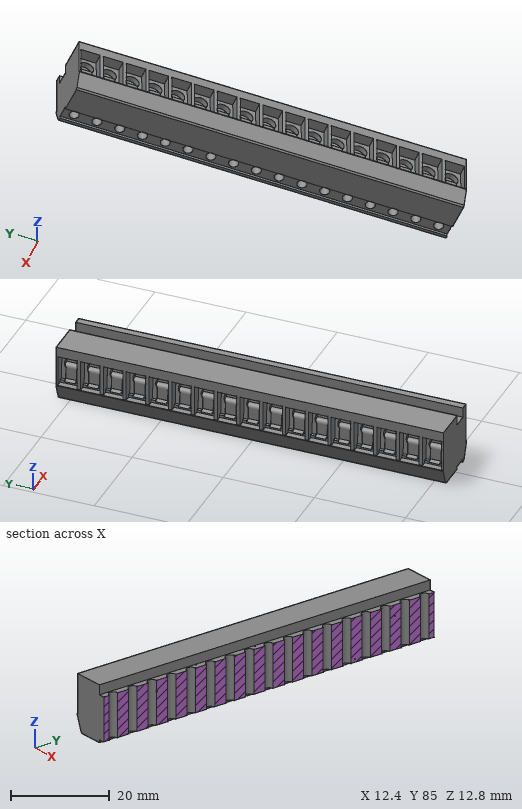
import cadquery as cq
import math

length = 85.0
height = 12.8
width = 12.4
pole_count = 17
pitch = length / pole_count

bottom_z = -height / 2
top_z = height / 2
barb_top_z = bottom_z + 3.9
barb_edge_height = 0.2
barb_x = width / 2
entry_face_x = -6.0
rear_face_x = 5.9
foot_half_width = 4.9
foot_chamfer = 0.3

groove_left_x = 1.2
groove_right_x = 4.25
groove_depth = 2.2
relief_right_x = 4.0
relief_depth = 0.6

screw_hole_diameter = 2.0
screw_hole_x = 2.55

pocket_width = 4.25
pocket_top_z = top_z - groove_depth
pocket_floor_z = barb_top_z
pocket_depth = 2.2
back_wall_tilt = 3.5
step_height = 0.6
step_setback = 1.2

opening_diameter = 3.1
opening_z = bottom_z + 8.1
opening_depth = 1.3
slot_width = 2.4
slot_floor_x = -3.9
tongue_top_z = opening_z - 0.25
tongue_radius = 0.8
slot_ramp_drop = 0.25

back_wall_lean = math.tan(math.radians(back_wall_tilt))
back_wall_top_x = entry_face_x + pocket_depth
back_wall_top_z = pocket_top_z - pocket_depth * back_wall_lean
step_x = entry_face_x + step_setback
step_top_z = pocket_floor_z + step_height
tongue_round_start_z = tongue_top_z - tongue_radius


def back_wall_x(z):
    """X of the leaning back wall, which comes outward toward the bottom."""
    return back_wall_top_x - (back_wall_top_z - z) * back_wall_lean


def extrude_along_y(sketch, y_length):
    """Extrude an XZ sketch symmetrically about Y = 0."""
    return sketch.extrude(y_length / 2, both=True)


def make_body():
    outline = cq.Workplane("XZ").polyline([
        (-foot_half_width, bottom_z + foot_chamfer),
        (-foot_half_width + foot_chamfer, bottom_z),
        (groove_left_x, bottom_z),
        (groove_left_x, bottom_z + relief_depth),
        (relief_right_x, bottom_z + relief_depth),
        (relief_right_x, bottom_z),
        (foot_half_width - foot_chamfer, bottom_z),
        (foot_half_width, bottom_z + foot_chamfer),
        (barb_x, barb_top_z - barb_edge_height),
        (barb_x, barb_top_z),
        (rear_face_x, barb_top_z),
        (rear_face_x, top_z),
        (groove_right_x, top_z),
        (groove_right_x, top_z - groove_depth),
        (groove_left_x, top_z - groove_depth),
        (groove_left_x, top_z),
        (entry_face_x, top_z),
        (entry_face_x, barb_top_z),
        (-barb_x, barb_top_z),
        (-barb_x, barb_top_z - barb_edge_height),
    ]).close()
    return extrude_along_y(outline, length)


def make_pocket():
    """Pocket with a leaning back wall and a step at its foot."""
    outline = cq.Workplane("XZ").polyline([
        (entry_face_x, pocket_floor_z),
        (step_x, pocket_floor_z),
        (step_x, step_top_z),
        (back_wall_x(step_top_z), step_top_z),
        (back_wall_top_x, back_wall_top_z),
        (entry_face_x, pocket_top_z),
    ]).close()
    return extrude_along_y(outline, pocket_width)


def make_keyhole():
    """Deep round opening and shallow slot, joined over a rounded tongue."""
    opening_bottom_z = opening_z - opening_diameter / 2
    tongue_round_x = slot_floor_x + tongue_radius
    side_outline = (
        cq.Workplane("XZ")
        .moveTo(step_x, opening_bottom_z)
        .lineTo(slot_floor_x, opening_bottom_z)
        .lineTo(slot_floor_x, tongue_round_start_z)
        .radiusArc((tongue_round_x, tongue_top_z), tongue_radius)
        .lineTo(back_wall_x(tongue_top_z) + opening_depth, tongue_top_z)
        .lineTo(back_wall_top_x + opening_depth, back_wall_top_z)
        .lineTo(step_x, back_wall_top_z)
        .close()
    )
    opening = (
        cq.Workplane("YZ", origin=(step_x, 0, 0))
        .center(0, opening_z)
        .circle(opening_diameter / 2)
        .extrude(pocket_depth + opening_depth)
        .intersect(extrude_along_y(side_outline, pocket_width))
    )
    slot_outline = cq.Workplane("XZ").polyline([
        (step_x, step_top_z - slot_ramp_drop),
        (slot_floor_x, step_top_z),
        (slot_floor_x, tongue_round_start_z),
        (step_x, tongue_round_start_z),
    ]).close()
    return opening.union(extrude_along_y(slot_outline, slot_width))


def make_screw_hole():
    return (
        cq.Workplane("XY", origin=(0, 0, bottom_z))
        .center(screw_hole_x, 0)
        .circle(screw_hole_diameter / 2)
        .extrude(height)
    )


pole_cutter = make_pocket().union(make_keyhole()).union(make_screw_hole())

result = make_body()
for pole in range(pole_count):
    pole_y = (pole - (pole_count - 1) / 2) * pitch
    result = result.cut(pole_cutter.translate((0, pole_y, 0)))